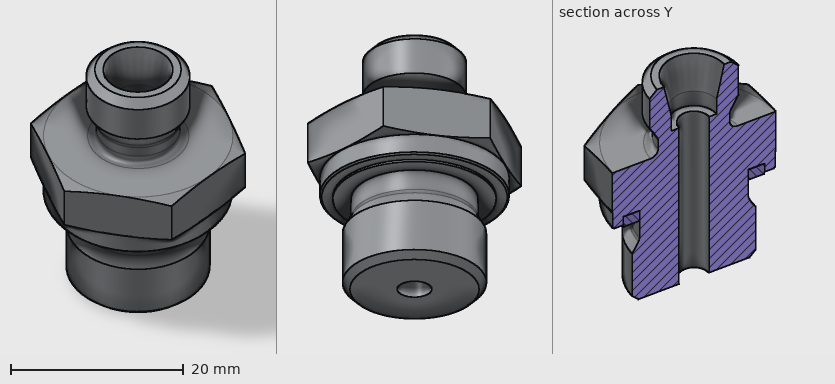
import cadquery as cq
import math

TOTAL_HEIGHT = 30.5
LOWER_CONE_START = 7.25
SEAL_BOTTOM = 11.7
FLANGE_BOTTOM = 12.0
HEX_BOTTOM = 14.5
HEX_TOP = 20.5
UPPER_CONE_START = 25.05

HEX_ACROSS_FLATS = 22.0
HEX_CHAMFER_ANGLE = 15
FLANGE_RADIUS = 21.9 / 2
FLANGE_CHAMFER = 0.2

UPPER_THREAD_RADIUS = 12.0 / 2
UPPER_NECK_RADIUS = 9.7 / 2
UPPER_CHAMFER = 1.0
LOWER_THREAD_RADIUS = 16.65 / 2
LOWER_NECK_RADIUS = 14.7 / 2
LOWER_CHAMFER = 0.85
CONE_ANGLE = 30
NECK_FILLET = 1.0

BORE_RADIUS = 4.0 / 2
SOCKET_RADIUS = 6.0 / 2
SOCKET_MOUTH_RADIUS = 8.05 / 2
SOCKET_DEPTH = 7
SOCKET_CONE_ANGLE = 12

SEAL_RADIUS = 18.9 / 2
SEAL_HEIGHT = 1.52


def tangent(degrees):
    return math.tan(math.radians(degrees))


def revolve_profile(points):
    """Solid of revolution about Z from (radius, height) points."""
    return cq.Workplane("XZ").polyline(points).close().revolve(360, (0, 0), (0, 1))


def fillet_circle(body, radius, height):
    """Round the circular edge of the given radius at the given height."""
    tolerance = 0.003
    reach = radius + tolerance
    box = cq.selectors.BoxSelector(
        (-reach, -reach, height - tolerance),
        (reach, reach, height + tolerance),
        boundingbox=True,
    )
    return body.edges(box).fillet(NECK_FILLET)


def make_turned_body():
    """Both threaded ends, the flange and a round core through the hexagon."""
    lower_cone_end = LOWER_CONE_START + (LOWER_THREAD_RADIUS - LOWER_NECK_RADIUS) / tangent(CONE_ANGLE)
    upper_cone_end = UPPER_CONE_START - (UPPER_THREAD_RADIUS - UPPER_NECK_RADIUS) / tangent(CONE_ANGLE)
    body = revolve_profile([
        (0, 0),
        (LOWER_THREAD_RADIUS - LOWER_CHAMFER, 0),
        (LOWER_THREAD_RADIUS, LOWER_CHAMFER),
        (LOWER_THREAD_RADIUS, LOWER_CONE_START),
        (LOWER_NECK_RADIUS, lower_cone_end),
        (LOWER_NECK_RADIUS, FLANGE_BOTTOM),
        (FLANGE_RADIUS - FLANGE_CHAMFER, FLANGE_BOTTOM),
        (FLANGE_RADIUS, FLANGE_BOTTOM + FLANGE_CHAMFER),
        (FLANGE_RADIUS, HEX_TOP),
        (UPPER_NECK_RADIUS, HEX_TOP),
        (UPPER_NECK_RADIUS, upper_cone_end),
        (UPPER_THREAD_RADIUS, UPPER_CONE_START),
        (UPPER_THREAD_RADIUS, TOTAL_HEIGHT - UPPER_CHAMFER),
        (UPPER_THREAD_RADIUS - UPPER_CHAMFER, TOTAL_HEIGHT),
        (0, TOTAL_HEIGHT),
    ])
    body = fillet_circle(body, LOWER_NECK_RADIUS, lower_cone_end)
    body = fillet_circle(body, UPPER_NECK_RADIUS, upper_cone_end)
    return fillet_circle(body, UPPER_NECK_RADIUS, HEX_TOP)


def make_hexagon():
    """Hexagon with corners on Y, its corners chamfered at top and bottom."""
    corner_radius = HEX_ACROSS_FLATS / 2 / math.cos(math.radians(30))
    corner_drop = (corner_radius - FLANGE_RADIUS) * tangent(HEX_CHAMFER_ANGLE)
    prism = (
        cq.Workplane("XY", origin=(0, 0, HEX_BOTTOM))
        .transformed(rotate=(0, 0, 90))
        .polygon(6, 2 * corner_radius)
        .extrude(HEX_TOP - HEX_BOTTOM)
    )
    chamfer_envelope = revolve_profile([
        (0, HEX_BOTTOM),
        (FLANGE_RADIUS, HEX_BOTTOM),
        (corner_radius, HEX_BOTTOM + corner_drop),
        (corner_radius, HEX_TOP - corner_drop),
        (FLANGE_RADIUS, HEX_TOP),
        (0, HEX_TOP),
    ])
    return prism.intersect(chamfer_envelope)


def make_bore():
    """Through bore with a conical-mouthed tube socket at the top."""
    cone_depth = (SOCKET_MOUTH_RADIUS - SOCKET_RADIUS) / tangent(SOCKET_CONE_ANGLE)
    return revolve_profile([
        (0, 0),
        (BORE_RADIUS, 0),
        (BORE_RADIUS, TOTAL_HEIGHT - SOCKET_DEPTH),
        (SOCKET_RADIUS, TOTAL_HEIGHT - SOCKET_DEPTH),
        (SOCKET_RADIUS, TOTAL_HEIGHT - cone_depth),
        (SOCKET_MOUTH_RADIUS, TOTAL_HEIGHT),
        (0, TOTAL_HEIGHT),
    ])


def make_seal_ring():
    """Flat ring around the lower neck, standing slightly below the flange."""
    return (
        cq.Workplane("XY", origin=(0, 0, SEAL_BOTTOM))
        .circle(SEAL_RADIUS)
        .circle(LOWER_NECK_RADIUS)
        .extrude(SEAL_HEIGHT)
    )


seal_ring = make_seal_ring()
fitting = make_turned_body().union(make_hexagon()).cut(make_bore()).cut(seal_ring)

result = cq.Compound.makeCompound([fitting.val(), seal_ring.val()])